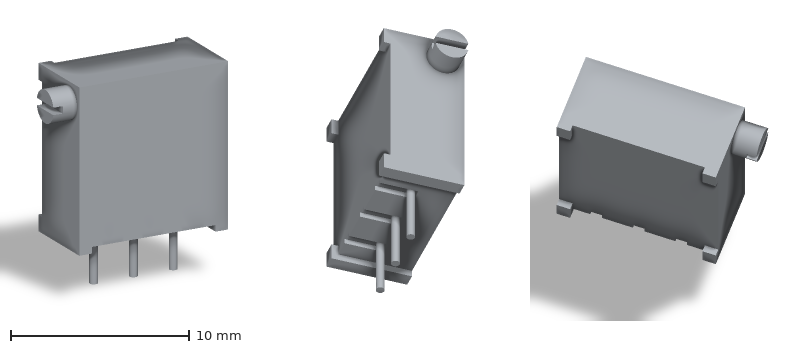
import cadquery as cq

thickness = 4.8
length = 9.5
height = 10.0
left_x = -thickness / 2
front_y = -length / 2

foot_length = 0.8
foot_height = 1.0
side_standoff = 0.41
bottom_standoff = 0.4
span_between_feet = length - 2 * foot_length

screw_diameter = 2.0
screw_projection = 1.5
screw_offset_from_left = 3.53
screw_offset_from_top = 1.27
screw_x = left_x + screw_offset_from_left
screw_z = height - screw_offset_from_top
screw_tip_y = front_y - screw_projection
screw_slot_width = 0.45
screw_slot_depth = 0.6

pin_diameter = 0.5
pin_pitch = 2.54
pin_projection = 2.7
pin_positions_y = [-pin_pitch, 0, pin_pitch]
notch_width = 0.7
notch_height = 0.3
notch_top_z = bottom_standoff + notch_height


def box(x_range, y_range, z_range):
    """Return a box that fills the given (low, high) range along each axis."""
    sizes = [high - low for low, high in (x_range, y_range, z_range)]
    corner = (x_range[0], y_range[0], z_range[0])
    return cq.Workplane("XY").box(*sizes, centered=False).translate(corner)


def make_side_recess():
    """Cross-shaped recess in the left side, which leaves a foot at each corner."""
    x_range = (left_x, left_x + side_standoff)
    half_length = length / 2
    half_span = span_between_feet / 2
    upright = box(x_range, (-half_span, half_span), (0, height))
    crossbar = box(x_range, (-half_length, half_length), (foot_height, height - foot_height))
    return upright.union(crossbar)


def make_bottom_channel():
    """Channel across the whole underside, between the front and back feet."""
    half_span = span_between_feet / 2
    return box((left_x, -left_x), (-half_span, half_span), (0, bottom_standoff))


def make_notch(pin_y):
    """Notch from the left side of the housing to just beyond a pin."""
    half_width = notch_width / 2
    return box(
        (left_x, half_width),
        (pin_y - half_width, pin_y + half_width),
        (bottom_standoff, notch_top_z),
    )


def make_screw_head():
    """Round head that points along -Y, with a horizontal driver slot in its tip."""
    front_plane = cq.Workplane("XZ", origin=(screw_x, front_y, screw_z))
    head = front_plane.circle(screw_diameter / 2).extrude(screw_projection)
    slot = box(
        (screw_x - screw_diameter / 2, screw_x + screw_diameter / 2),
        (screw_tip_y, screw_tip_y + screw_slot_depth),
        (screw_z - screw_slot_width / 2, screw_z + screw_slot_width / 2),
    )
    return head.cut(slot)


def make_housing():
    """Housing with its feet, pin notches and screw head."""
    body = box((left_x, -left_x), (front_y, -front_y), (0, height))
    body = body.cut(make_side_recess()).cut(make_bottom_channel())
    for pin_y in pin_positions_y:
        body = body.cut(make_notch(pin_y))
    return body.union(make_screw_head())


def make_pin(pin_y):
    """Straight round pin that hangs from the ceiling of its notch."""
    pin_length = notch_top_z + pin_projection
    notch_ceiling = cq.Workplane("XY", origin=(0, pin_y, notch_top_z))
    return notch_ceiling.circle(pin_diameter / 2).extrude(-pin_length)


housing = make_housing()
pins = [make_pin(pin_y) for pin_y in pin_positions_y]

result = cq.Compound.makeCompound([housing.val(), *[pin.val() for pin in pins]])